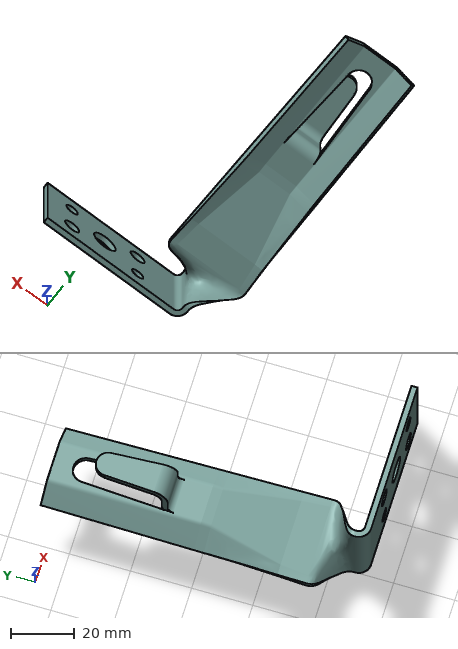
import cadquery as cq
import math

thickness = 2.0
strip_half = 29.5 / 2
diagonal = math.sqrt(0.5)

plate_end_x = 53.0
plate_bend_outer = 4.0
hole_centre_x = 30.25
hole_offset_x = 13.0
hole_offset_z = 7.0
centre_hole_dia = 8.5
large_hole_dia = 5.5
small_hole_dia = 4.5

twist_start_y = plate_bend_outer
twist_end_y = 16.0
twist_steps = 20
flare_y = 25.3
ramp_top_y = 49.5
channel_start_y = 52.75
strap_end_y = 103.12

crown_height = 4.7
ramp_top_height = 4.4
flare_height = 0.6
crown_half = 6.0
flare_crown_half = 11.1
flat_crown_half = 12.1
flat_bend_width = 0.2
flange_bend_outer = 2.5
flange_bend_inner = flange_bend_outer - thickness
strap_end_half = 13.65

tongue_top = strip_half
tongue_wall_y = 64.0
tongue_root_inner = 2.0
tongue_root_outer = tongue_root_inner + thickness
tongue_bend_outer = 4.75
tongue_bend_inner = tongue_bend_outer - thickness
tongue_tip_y = 89.0
tongue_root_half = 5.85
tongue_tip_radius = 3.9
slot_start_y = tongue_wall_y - tongue_root_inner
slot_start_half = 5.9
slot_end_y = 96.5
slot_end_radius = 4.15


def make_plate():
    """Flat plate with its quarter-round bend and mounting holes."""
    inner_x = thickness / 2
    outer_x = -thickness / 2
    bend_x = outer_x + plate_bend_outer
    bend_y = plate_bend_outer
    bend_inner = plate_bend_outer - thickness
    plate = (
        cq.Workplane("XY", origin=(0, 0, -strip_half))
        .moveTo(outer_x, bend_y)
        .threePointArc(
            (bend_x - plate_bend_outer * diagonal, bend_y - plate_bend_outer * diagonal),
            (bend_x, 0),
        )
        .lineTo(plate_end_x, 0)
        .lineTo(plate_end_x, thickness)
        .lineTo(bend_x, thickness)
        .threePointArc(
            (bend_x - bend_inner * diagonal, bend_y - bend_inner * diagonal),
            (inner_x, bend_y),
        )
        .close()
        .extrude(2 * strip_half)
    )
    plate = cut_hole(plate, 0, 0, centre_hole_dia)
    for side in (-1, 1):
        plate = cut_hole(plate, side * hole_offset_x, -side * hole_offset_z, large_hole_dia)
        plate = cut_hole(plate, side * hole_offset_x, side * hole_offset_z, small_hole_dia)
    return plate


def cut_hole(plate, dx, dz, diameter):
    """Drill through the plate at an offset from the centre hole."""
    drill = (
        cq.Workplane("XZ", origin=(hole_centre_x + dx, 2 * thickness, dz))
        .circle(diameter / 2)
        .extrude(4 * thickness)
    )
    return plate.cut(drill)


def make_twist():
    """Quarter twist from the upright bend to the flat strap.

    Each corner travels in a straight line across XZ, easing in and out along Y."""
    half = thickness / 2
    upright = [(-half, -strip_half), (half, -strip_half), (half, strip_half), (-half, strip_half)]
    flat = [(-strip_half, 0), (-strip_half, -thickness), (strip_half, -thickness), (strip_half, 0)]
    sections = []
    for step in range(twist_steps + 1):
        u = step / twist_steps
        blend = u ** 3 * (10 - 15 * u + 6 * u ** 2)
        y = twist_start_y + u * (twist_end_y - twist_start_y)
        corners = [
            cq.Vector(ux + blend * (fx - ux), y, uz + blend * (fz - uz))
            for (ux, uz), (fx, fz) in zip(upright, flat)
        ]
        sections.append(cq.Wire.makePolygon(corners, close=True))
    return cq.Workplane(cq.Solid.makeLoft(sections))


def strap_half_width(y):
    """Half width of the strap, which narrows steadily towards its free end."""
    along = (y - twist_end_y) / (strap_end_y - twist_end_y)
    return strip_half + along * (strap_end_half - strip_half)


def strap_section(y, height, crown):
    """Closed cross-section at y whose flange edges touch Z = 0."""
    edge_x = strap_half_width(y)
    centre_z = height - flange_bend_outer
    distance = math.hypot(edge_x - crown, centre_z)
    bearing = math.atan2(edge_x - crown, -centre_z)
    angle = bearing - math.acos(flange_bend_outer / distance)

    def on_bend(radius, fraction):
        turn = angle * fraction
        return (crown + radius * math.sin(turn), centre_z + radius * math.cos(turn))

    outer = flange_bend_outer
    inner = flange_bend_inner
    right = [
        on_bend(outer, 0), on_bend(outer, 0.5), on_bend(outer, 1),
        (edge_x, 0),
        (edge_x - thickness * math.sin(angle), -thickness * math.cos(angle)),
        on_bend(inner, 1), on_bend(inner, 0.5), on_bend(inner, 0),
    ]
    r = [cq.Vector(x, y, z) for x, z in right]
    m = [cq.Vector(-x, y, z) for x, z in right]
    edges = [
        cq.Edge.makeLine(m[0], r[0]),
        cq.Edge.makeThreePointArc(r[0], r[1], r[2]),
        cq.Edge.makeLine(r[2], r[3]),
        cq.Edge.makeLine(r[3], r[4]),
        cq.Edge.makeLine(r[4], r[5]),
        cq.Edge.makeThreePointArc(r[5], r[6], r[7]),
        cq.Edge.makeLine(r[7], m[7]),
        cq.Edge.makeThreePointArc(m[7], m[6], m[5]),
        cq.Edge.makeLine(m[5], m[4]),
        cq.Edge.makeLine(m[4], m[3]),
        cq.Edge.makeLine(m[3], m[2]),
        cq.Edge.makeThreePointArc(m[2], m[1], m[0]),
    ]
    return cq.Wire.assembleEdges(edges)


def flat_section(y, crown):
    """Plain rectangular section, split where the bends of the next section begin."""
    bend_end = crown + flat_bend_width
    stops = [crown, bend_end, strap_half_width(y)]
    right = [(x, 0) for x in stops] + [(x, -thickness) for x in reversed(stops)]
    left = [(-x, z) for x, z in reversed(right)]
    outline = left[-1:] + right + left[:-1]
    corners = [cq.Vector(x, y, z) for x, z in outline]
    return cq.Wire.makePolygon(corners, close=True)


def make_strap():
    """Straight runs between the strap sections."""
    sections = [
        flat_section(twist_end_y, flat_crown_half),
        strap_section(flare_y, flare_height, flare_crown_half),
        strap_section(ramp_top_y, ramp_top_height, crown_half),
        strap_section(channel_start_y, crown_height, crown_half),
        strap_section(strap_end_y, crown_height, crown_half),
    ]
    strap = cq.Workplane(cq.Solid.makeLoft(sections[:2], True))
    for start, end in zip(sections[1:], sections[2:]):
        run = cq.Workplane(cq.Solid.makeLoft([start, end], True))
        strap = strap.union(run)
    return strap


def make_slot():
    """Cutter for the tapered, round-ended slot in the crown."""
    centre_y = slot_end_y - slot_end_radius
    return (
        cq.Workplane("XY", origin=(0, 0, -thickness))
        .moveTo(-slot_start_half, slot_start_y)
        .lineTo(slot_start_half, slot_start_y)
        .lineTo(slot_end_radius, centre_y)
        .threePointArc((0, slot_end_y), (-slot_end_radius, centre_y))
        .close()
        .extrude(crown_height + 2 * thickness)
    )


def make_tongue():
    """Tongue rising from the slot root, folded over towards the strap end."""
    root_z = crown_height + tongue_root_inner
    bend_y = tongue_wall_y + tongue_bend_outer
    bend_z = tongue_top - tongue_bend_outer
    tip_centre_y = tongue_tip_y - tongue_tip_radius

    profile = (
        cq.Workplane("YZ", origin=(-strip_half, 0, 0))
        .moveTo(slot_start_y, crown_height)
        .threePointArc(
            (slot_start_y + tongue_root_inner * diagonal, root_z - tongue_root_inner * diagonal),
            (tongue_wall_y, root_z),
        )
        .lineTo(tongue_wall_y, bend_z)
        .threePointArc(
            (bend_y - tongue_bend_outer * diagonal, bend_z + tongue_bend_outer * diagonal),
            (bend_y, tongue_top),
        )
        .lineTo(tongue_tip_y, tongue_top)
        .lineTo(tongue_tip_y, tongue_top - thickness)
        .lineTo(bend_y, tongue_top - thickness)
        .threePointArc(
            (bend_y - tongue_bend_inner * diagonal, bend_z + tongue_bend_inner * diagonal),
            (tongue_wall_y + thickness, bend_z),
        )
        .lineTo(tongue_wall_y + thickness, root_z)
        .threePointArc(
            (slot_start_y + tongue_root_outer * diagonal, root_z - tongue_root_outer * diagonal),
            (slot_start_y, crown_height - thickness),
        )
        .close()
        .extrude(2 * strip_half)
    )

    run = (tip_centre_y - slot_start_y + tongue_top - crown_height) * diagonal
    slope = (tongue_root_half - tongue_tip_radius) / run
    margin = 10.0
    low_half = tongue_root_half + slope * margin
    high_half = tongue_tip_radius - slope * margin
    taper_plane = cq.Plane(
        origin=(0, slot_start_y, crown_height), xDir=(1, 0, 0), normal=(0, -1, 1)
    )
    taper = (
        cq.Workplane(taper_plane)
        .moveTo(-low_half, -margin)
        .lineTo(low_half, -margin)
        .lineTo(high_half, run + margin)
        .lineTo(-high_half, run + margin)
        .close()
        .extrude(2 * strip_half, both=True)
    )

    root_to_round = tip_centre_y - slot_start_y
    tip_round = cq.Workplane("XY").center(0, tip_centre_y).circle(tongue_tip_radius).extrude(tongue_top)
    plan = (
        cq.Workplane("XY")
        .center(0, slot_start_y + root_to_round / 2)
        .rect(2 * strip_half, root_to_round)
        .extrude(tongue_top)
        .union(tip_round)
    )
    return profile.intersect(taper).intersect(plan)


result = (
    make_strap()
    .cut(make_slot())
    .union(make_tongue())
    .union(make_twist())
    .union(make_plate())
)